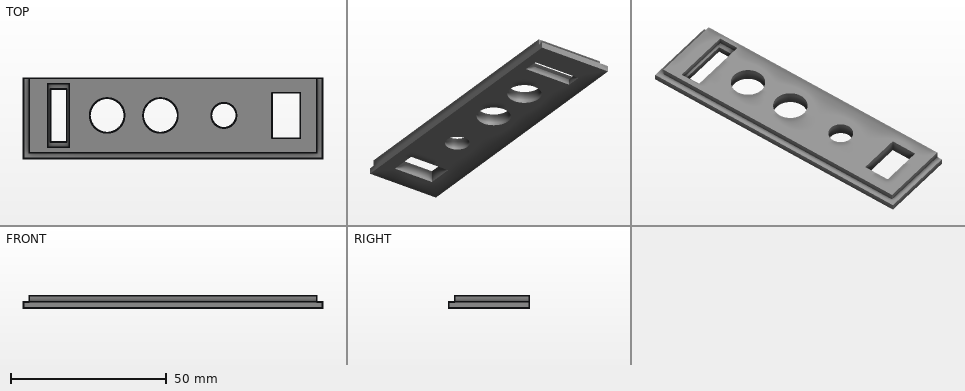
import cadquery as cq

length = 96.0
width = 25.8
thickness = 4.0
base_thickness = thickness / 2

end_ledge = 1.8
front_ledge = 1.9
panel_length = length - 2 * end_ledge
panel_width = width - front_ledge
panel_y = front_ledge / 2

round_holes = [(-21.1, 11.0), (-4.0, 11.0), (16.3, 8.0)]

window_x = 36.3
window_length = 9.0
window_width = 14.5

slot_x = -36.7
slot_length = 5.2
slot_width = 16.9
shoulder_x = 0.9
shoulder_y = 1.7
recess_depth = thickness - base_thickness


def block(x, y, size_x, size_y, bottom, top):
    """Box centred at (x, y), spanning from bottom to top in Z."""
    return (
        cq.Workplane("XY", origin=(x, y, bottom))
        .rect(size_x, size_y)
        .extrude(top - bottom)
    )


result = block(0, 0, length, width, 0, base_thickness)
result = result.union(block(0, panel_y, panel_length, panel_width, base_thickness, thickness))

for hole_x, diameter in round_holes:
    hole = cq.Workplane("XY", origin=(hole_x, panel_y, 0)).circle(diameter / 2).extrude(thickness)
    result = result.cut(hole)

result = result.cut(block(window_x, panel_y, window_length, window_width, 0, thickness))
result = result.cut(block(slot_x, panel_y, slot_length, slot_width, 0, thickness))

recess_length = slot_length + 2 * shoulder_x
recess_width = slot_width + 2 * shoulder_y
result = result.cut(
    block(slot_x, panel_y, recess_length, recess_width, thickness - recess_depth, thickness)
)